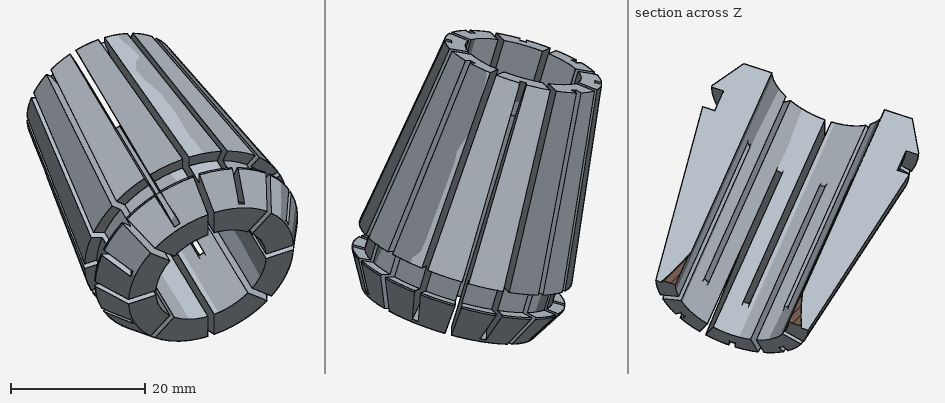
import cadquery as cq
import math

length = 40.0
bore_radius = 9.0
max_diameter = 33.0
groove_radius = 14.55
taper_length = 30.8
groove_end = 34.45
rim_land = 0.3
taper_angle = 8.0
nose_angle = 30.0

slits_per_set = 8
slit_width = 1.0
blade_radius = 35.0
rear_floor_radius = 11.1
rear_breakthrough = 6.0
front_runout = 39.5
front_floor_slope = 33.5

max_radius = max_diameter / 2
rear_radius = max_radius - taper_length * math.tan(math.radians(taper_angle))
rim_end = groove_end + rim_land
nose_tangent = math.tan(math.radians(nose_angle))
nose_radius = max_radius - (length - rim_end) * nose_tangent


def make_body():
    profile = [
        (0, bore_radius),
        (0, rear_radius),
        (taper_length, max_radius),
        (taper_length, groove_radius),
        (groove_end, groove_radius),
        (groove_end, max_radius),
        (rim_end, max_radius),
        (length, nose_radius),
        (length, bore_radius),
    ]
    return cq.Workplane("XY").polyline(profile).close().revolve(360, (0, 0, 0), (1, 0, 0))


def blade_center_through(start, end):
    """Center, outside the part, of the blade arc through two (x, radius) points."""
    run = end[0] - start[0]
    rise = end[1] - start[1]
    chord = math.hypot(run, rise)
    offset = math.sqrt(blade_radius**2 - (chord / 2) ** 2)
    return (
        (start[0] + end[0]) / 2 - offset * rise / chord,
        (start[1] + end[1]) / 2 + offset * run / chord,
    )


def make_slit(center, exit_x):
    """Saw cut on the +Y side: blade disc at its end position, swept to exit_x along X."""
    x, y = center
    disc = cq.Workplane("XY").center(x, y).circle(blade_radius).extrude(slit_width / 2, both=True)
    sweep = (
        cq.Workplane("XY")
        .moveTo((x + exit_x) / 2, y)
        .rect(abs(exit_x - x), 2 * blade_radius)
        .extrude(slit_width / 2, both=True)
    )
    return disc.union(sweep)


def cut_slits(body, slit, first_angle):
    for index in range(slits_per_set):
        angle = first_angle + index * 360 / slits_per_set
        body = body.cut(slit.rotate((0, 0, 0), (1, 0, 0), angle))
    return body


nose_side_center = blade_center_through((0, rear_floor_radius), (rear_breakthrough, bore_radius))

runout_radius = max_radius - (front_runout - rim_end) * nose_tangent
slope = math.radians(front_floor_slope)
rear_side_center = (
    front_runout - blade_radius * math.sin(slope),
    runout_radius + blade_radius * math.cos(slope),
)

result = make_body()
result = cut_slits(result, make_slit(nose_side_center, length), 0)
result = cut_slits(result, make_slit(rear_side_center, 0), 180 / slits_per_set)